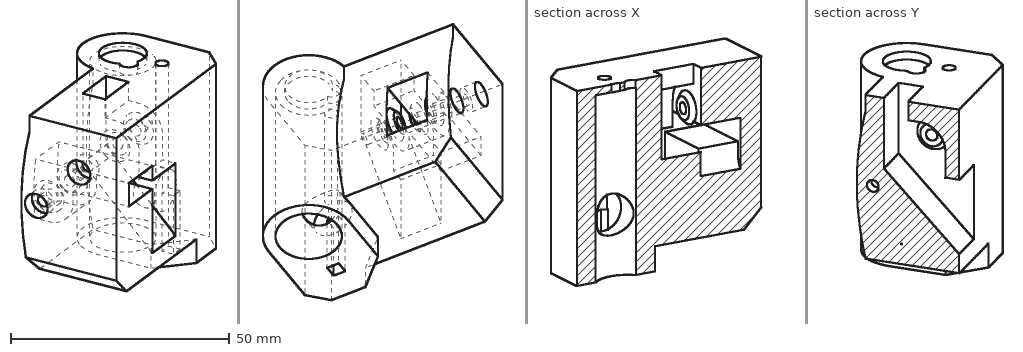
import cadquery as cq

height = 47.0
length = 49.5
barrel_radius = 10.5
right_x = 21.25
back_y = barrel_radius
front_y = back_y - length
back_corner_chamfer = 4.45

arm_bottom_z = 6.05
arm_edge_chamfer = 4.65
arm_left_x = -1.85
arm_bulge = 2.2
foot_chamfer = 7.55

bore_diameter = 15.2
lip_diameter = 11.0
lip_thickness = 2.0
key_diameter = 4.25
key_offset = 3.8

lower_axle_x, lower_axle_z = 0, 24.5
upper_axle_x, upper_axle_z = 11.35, 35.8
roller_clearance = 6.45

cavity_width = 10.55
dividing_y = -22.75
lower_front_y = dividing_y - cavity_width
upper_front_y = dividing_y
channel_height = 5.9
channel_bottom_z = 27.22
channel_top_z = channel_bottom_z + channel_height
slot_left_x = 2.75
slot_width = 5.95
slot_right_x = slot_left_x + slot_width

seat_tip_diameter = 5.6
seat_height = 1.2
seat_base_diameter = seat_tip_diameter + 2 * seat_height
screw_diameter = 2.75
head_diameter = 6.0
lower_head_depth = 3.0
upper_head_depth = 3.95
screw_end_depth = 3.95

wire_hole_diameter = 3.0
wire_hole_x = 10.4
wire_passage_diameter = 10.0
wire_passage_z = 14.85
wire_pocket_left_x = 11.3


def box(x_min, x_max, y_min, y_max, z_min, z_max):
    """Box between two opposite corners."""
    return cq.Workplane("XY").box(
        x_max - x_min, y_max - y_min, z_max - z_min, centered=False
    ).translate((x_min, y_min, z_min))


def y_cylinder(x, z, diameter, start_y, end_y):
    """Cylinder along +Y from start_y to end_y."""
    plane = cq.Workplane("XZ", origin=(x, start_y, z))
    return plane.circle(diameter / 2).extrude(start_y - end_y)


def make_body():
    """Barrel and chamfered foot, joined to the bulged front arm."""
    barrel = cq.Workplane("XY").circle(barrel_radius).extrude(height)
    foot = box(0, right_x, -barrel_radius, back_y, 0, height)
    foot = foot.edges("|Z and >X and <Y").chamfer(foot_chamfer)

    arm_mid_z = lower_axle_z
    bulge_top_z = 2 * arm_mid_z - arm_bottom_z
    arm = (
        cq.Workplane("XZ")
        .moveTo(right_x, arm_bottom_z)
        .lineTo(arm_left_x, arm_bottom_z)
        .threePointArc((arm_left_x - arm_bulge, arm_mid_z), (arm_left_x, bulge_top_z))
        .lineTo(arm_left_x, height)
        .lineTo(right_x, height)
        .close()
        .extrude(-front_y)
        .faces("<Y").edges("<Z").chamfer(arm_edge_chamfer)
    )
    body = barrel.union(foot).union(arm)
    return body.edges("|Z and >X and >Y").chamfer(back_corner_chamfer)


def make_bore():
    """Wide bore below the lip, and the keyed opening through the lip."""
    bore = cq.Workplane("XY").circle(bore_diameter / 2).extrude(height - lip_thickness)
    opening = cq.Workplane("XY").circle(lip_diameter / 2).extrude(height)
    key = (
        cq.Workplane("XY", origin=(key_offset, -key_offset, height - lip_thickness))
        .circle(key_diameter / 2)
        .extrude(lip_thickness)
    )
    return bore.union(opening).union(key)


def cavity_block(x_min, x_max, front, z_min, z_max):
    """Box one cavity wide along Y, starting at the given front wall."""
    return box(x_min, x_max, front, front + cavity_width, z_min, z_max)


def make_lower_cavity():
    """Rounded pocket open to the left, with a straight channel to the right face."""
    pocket = cavity_block(
        -barrel_radius, lower_axle_x + roller_clearance,
        lower_front_y, lower_axle_z - roller_clearance, channel_top_z,
    )
    pocket = pocket.edges("|Y and >X and <Z").fillet(roller_clearance)
    channel = cavity_block(lower_axle_x, right_x, lower_front_y, channel_bottom_z, channel_top_z)
    return pocket.union(channel)


def make_upper_cavity():
    """Slot from the top face, rounded pocket, and a 45 degree ramp to the right face."""
    roller_bottom_z = upper_axle_z - roller_clearance
    pocket = cavity_block(
        slot_left_x, upper_axle_x + roller_clearance,
        upper_front_y, roller_bottom_z, upper_axle_z + roller_clearance,
    )
    pocket = pocket.edges("|Y and >X and >Z").fillet(roller_clearance)
    slot = cavity_block(slot_left_x, slot_right_x, upper_front_y, upper_axle_z, height)
    ramp_drop = right_x - slot_left_x
    chute = (
        cq.Workplane("XZ", origin=(0, upper_front_y, 0))
        .moveTo(slot_left_x, roller_bottom_z)
        .lineTo(right_x, roller_bottom_z - ramp_drop)
        .lineTo(right_x, roller_bottom_z)
        .close()
        .extrude(-cavity_width)
    )
    return pocket.union(slot).union(chute)


def make_axle_seats(x, z, cavity_front_y):
    """Pair of cones that narrow towards the middle of the cavity."""
    profile = [
        (0, 0),
        (seat_base_diameter / 2, 0),
        (seat_tip_diameter / 2, seat_height),
        (0, seat_height),
    ]
    front = cq.Workplane("XY").polyline(profile).close().revolve(360, (0, 0), (0, 1))
    back = front.mirror("XZ")
    back = back.translate((x, cavity_front_y + cavity_width, z))
    return front.translate((x, cavity_front_y, z)).union(back)


def make_screw_hole(x, z, cavity_front_y, head_depth):
    """Screw hole from the front face with a recess for the head."""
    end_y = cavity_front_y + cavity_width + screw_end_depth
    shank = y_cylinder(x, z, screw_diameter, front_y, end_y)
    head = y_cylinder(x, z, head_diameter, front_y, front_y + head_depth)
    return shank.union(head)


def make_wire_hole():
    """Hole from the top to a cross passage from the bore, with a pocket open below."""
    radius = wire_hole_diameter / 2
    drop = (
        cq.Workplane("XY", origin=(wire_hole_x, 0, wire_passage_z))
        .circle(radius)
        .extrude(height - wire_passage_z)
    )
    pocket_right_x = wire_pocket_left_x + wire_hole_diameter
    passage = cq.Workplane("YZ", origin=(0, 0, wire_passage_z)).circle(wire_passage_diameter / 2)
    passage = passage.extrude(wire_pocket_left_x)
    pocket = box(wire_pocket_left_x, pocket_right_x, -radius, radius, 0, wire_passage_z)
    return drop.union(passage).union(pocket)


axles = [
    (lower_axle_x, lower_axle_z, lower_front_y, lower_head_depth),
    (upper_axle_x, upper_axle_z, upper_front_y, upper_head_depth),
]

result = make_body().cut(make_bore()).cut(make_wire_hole())
result = result.cut(make_lower_cavity()).cut(make_upper_cavity())
for axle_x, axle_z, cavity_front_y, head_depth in axles:
    result = result.union(make_axle_seats(axle_x, axle_z, cavity_front_y))
    result = result.cut(make_screw_hole(axle_x, axle_z, cavity_front_y, head_depth))